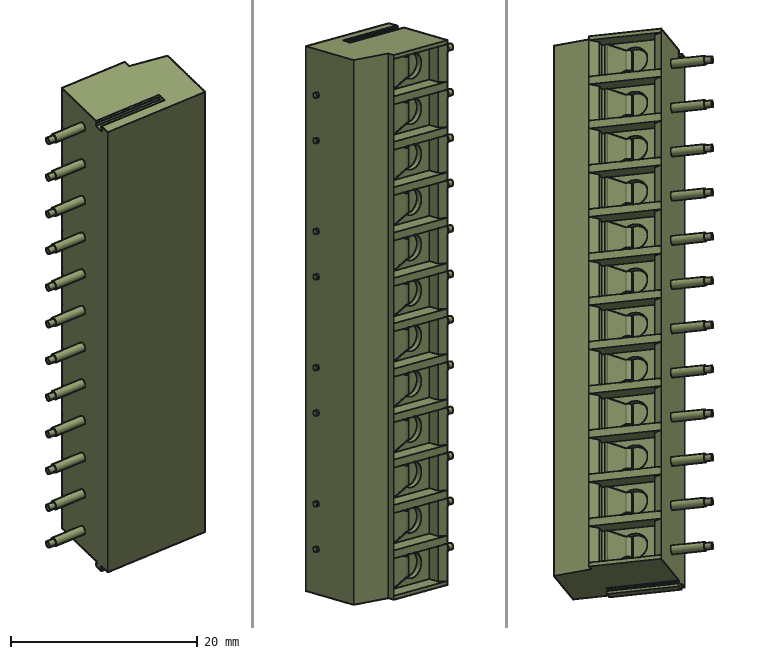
import cadquery as cq

pole_count = 12
pitch = 5.08
width = 9.0
height = 12.5
length = pole_count * pitch
ledge_y = 8.08
ledge_depth = 0.85
slope_top_x = 1.65

partition = 0.9
pocket_length = pitch - partition
bevel = 0.9
lower_bevel_depth = 0.55
floor_x = 1.9
tongue_x = 1.75
tongue_end_y = 3.9
tongue_end_width = 2.3
tongue_start_run = 0.65
tongue_start_radius = 0.8
tongue_bend_run = 0.55
tongue_bend_drop = 0.25
tongue_bend_radius = 0.9
wire_hole_radius = 1.45
wire_hole_y = 3.55
wire_hole_depth = 0.7

pin_x = 4.12
pin_diameter = 1.0
pin_length = 4.5
tip_diameter = 0.75
tip_length = 0.8

rail_x = 7.25
rail_height = 0.69
rail_root_width = 1.1
rail_neck_width = 0.75
rail_neck_drop = 0.12
rail_shoulder_width = 1.15
rail_shoulder_drop = 0.38
rail_tip_width = 1.05

stud_diameter = 0.6
stud_height = 0.3
stud_spacing = 3
stud_gaps = [gap for gap in range(1, pole_count) if gap % stud_spacing]

overlap = 0.2


def pole_z(index):
    return (index + 0.5) * pitch


def housing():
    outline = [
        (0, 0),
        (width, 0),
        (width, height),
        (slope_top_x, height),
        (ledge_depth, ledge_y),
        (0, ledge_y),
    ]
    return cq.Workplane("XY").polyline(outline).close().extrude(length)


def pocket(z):
    """Wire pocket cutter: bevelled recess with a round wire hole in its floor."""
    outline = [
        (0, 0),
        (lower_bevel_depth, bevel),
        (floor_x, bevel),
        (floor_x, ledge_y - bevel),
        (bevel, ledge_y - bevel),
        (0, ledge_y),
    ]
    recess = (
        cq.Workplane("XY", origin=(0, 0, z - pocket_length / 2))
        .polyline(outline)
        .close()
        .extrude(pocket_length)
    )
    wire_hole = (
        cq.Workplane("YZ", origin=(bevel, wire_hole_y, z))
        .circle(wire_hole_radius)
        .extrude(floor_x + wire_hole_depth - bevel)
    )
    return recess.union(wire_hole)


def tongue(z):
    """Clamp tongue: rounded at its start, narrowing and bending down into the wire hole."""
    start_y = ledge_y - bevel
    taper_start_y = start_y - tongue_start_run
    taper_end_y = tongue_end_y + tongue_bend_run
    root_x = floor_x + wire_hole_depth + overlap
    profile = (
        cq.Workplane("XY", origin=(0, 0, z - pocket_length / 2))
        .moveTo(root_x, start_y)
        .lineTo(tongue_x + tongue_start_run, start_y)
        .radiusArc((tongue_x, taper_start_y), -tongue_start_radius)
        .lineTo(tongue_x, taper_end_y)
        .radiusArc((tongue_x + tongue_bend_drop, tongue_end_y), -tongue_bend_radius)
        .lineTo(root_x, tongue_end_y)
        .close()
        .extrude(pocket_length)
    )
    taper_outline = [
        (start_y, -pocket_length / 2),
        (taper_start_y, -pocket_length / 2),
        (taper_end_y, -tongue_end_width / 2),
        (tongue_end_y, -tongue_end_width / 2),
        (tongue_end_y, tongue_end_width / 2),
        (taper_end_y, tongue_end_width / 2),
        (taper_start_y, pocket_length / 2),
        (start_y, pocket_length / 2),
    ]
    taper = cq.Workplane("YZ", origin=(0, 0, z)).polyline(taper_outline).close().extrude(root_x)
    return profile.intersect(taper)


def pin(z):
    seat = cq.Workplane("XZ", origin=(pin_x, overlap, z))
    shank = seat.circle(pin_diameter / 2).extrude(overlap + pin_length - tip_length)
    tip = seat.circle(tip_diameter / 2).extrude(overlap + pin_length)
    return shank.union(tip)


def joining_strip(end_z):
    """Joining strip hanging below end_z, with its root reaching a little above it."""
    right_side = [
        (rail_root_width / 2, overlap),
        (rail_root_width / 2, 0),
        (rail_neck_width / 2, -rail_neck_drop),
        (rail_shoulder_width / 2, -rail_shoulder_drop),
        (rail_tip_width / 2, -rail_height),
    ]
    left_side = [(-x, z) for x, z in reversed(right_side)]
    outline = right_side + left_side
    return cq.Workplane("XZ", origin=(rail_x, 0, end_z)).polyline(outline).close().extrude(-ledge_y)


def stud(z):
    return (
        cq.Workplane("XZ", origin=(rail_x, height - overlap, z))
        .circle(stud_diameter / 2)
        .extrude(-(overlap + stud_height))
    )


result = housing()
for pole in range(pole_count):
    result = result.cut(pocket(pole_z(pole)))
    result = result.union(tongue(pole_z(pole)))
    result = result.union(pin(pole_z(pole)))
result = result.cut(joining_strip(length)).union(joining_strip(0))
for gap in stud_gaps:
    result = result.union(stud(gap * pitch))